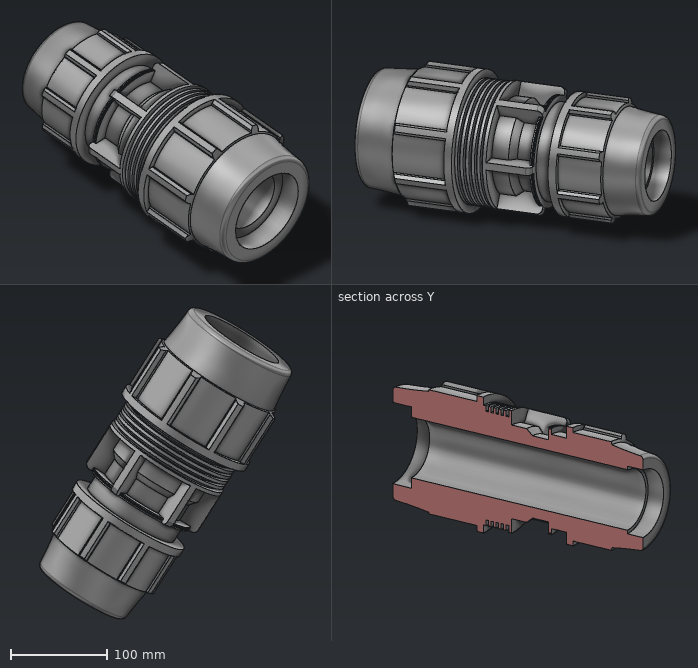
import cadquery as cq
import math


length = 316.0
bore_radius = 33.5
small_socket_radius = 75.0 / 2
small_socket_depth = 19.5
large_socket_radius = 90.0 / 2
large_socket_depth = 23.7

small_tip_fillet = 4.0
small_tip_radius = 53.0
small_nose_mid_radius = 55.0
small_nose_end_radius = 57.5
small_grip_start = 39.2
small_grip_radius = 121.7 / 2
small_flange_start = 88.2
small_flange_end = 97.0
small_flange_radius = 132.0 / 2

large_tip_fillet = 4.7
large_tip_radius = 63.5
large_nose_mid_radius = 65.0
large_nose_end_radius = 67.5
large_flange_start = 201.3
large_flange_end = 209.8
large_flange_radius = 152.0 / 2
large_grip_end = 271.0
large_grip_radius = 69.5

small_grip_cone_length = 2.5
large_grip_cone_length = 4.0

grip_rib_count = 8
rib_root_radius = 47.5
rib_trim_margin = 3.2
small_rib_top_half = 3.2
small_rib_foot_half = 5.5
small_rib_foot_radius = 63.0
large_rib_top_half = 3.5
large_rib_foot_half = 5.7
large_rib_foot_radius = 71.5

neck_radius = 105.5 / 2
ring_start = 115.5
ring_end = 120.0
ring_radius = 59.5
ring_groove_start = 117.2
ring_groove_width = 1.3
ring_groove_depth = 1.3
small_core_radius = 46.0
cone_start = 139.5
cone_end = 147.0
large_core_radius = 52.5
collar_start = 165.5
collar_end = 169.7
collar_radius = 136.8 / 2

thread_root_radius = 121.7 / 2
thread_radius = 134.0 / 2
thread_ring_count = 5
thread_start = 173.0
thread_pitch = 6.3
thread_ring_width = 3.5

body_rib_count = 6
body_rib_width = 8.2
body_rib_fillet = 6.0

AXIS_START = (0, 0, 0)
AXIS_END = (1, 0, 0)


def cylinder(start, end, radius):
    """Solid cylinder on the X axis."""
    return cq.Workplane("YZ").workplane(offset=start).circle(radius).extrude(end - start)


def nut_body(tip, tip_radius, tip_fillet, nose_mid_radius, nose_end_radius,
             grip_end, grip_radius, cone_length, flange_inner, flange_outer, flange_radius):
    """Revolved nut; tip, grip_end, flange_inner and flange_outer are X places from the tip inwards."""
    inward = math.copysign(1, flange_outer - tip)
    fillet_end = tip + inward * tip_fillet
    fillet_slack = tip_fillet * (1 - math.sqrt(0.5))
    nose_mid = (fillet_end + grip_end) / 2
    cone_share = (grip_radius - nose_end_radius) / (flange_radius - nose_end_radius)
    return (
        cq.Workplane("XY")
        .moveTo(tip, 0)
        .lineTo(tip, tip_radius - tip_fillet)
        .threePointArc((tip + inward * fillet_slack, tip_radius - fillet_slack), (fillet_end, tip_radius))
        .threePointArc((nose_mid, nose_mid_radius), (grip_end, nose_end_radius))
        .lineTo(grip_end + inward * cone_length * cone_share, grip_radius)
        .lineTo(flange_inner, grip_radius)
        .lineTo(flange_inner, flange_radius)
        .lineTo(flange_outer, flange_radius)
        .lineTo(flange_outer, 0)
        .close()
        .revolve(360, AXIS_START, AXIS_END)
    )


def grip_ribs(nose_end_radius, grip_end, cone_length, flange_outer, top_radius,
              top_half, foot_radius, foot_half):
    """Grip ribs all around, reaching the flange radius and trimmed by the grip cone."""
    inward = math.copysign(1, flange_outer - grip_end)
    trim_outline = [
        (grip_end, 0),
        (grip_end, nose_end_radius),
        (grip_end + inward * cone_length, top_radius),
        (flange_outer, top_radius),
        (flange_outer, 0),
    ]
    trim = cq.Workplane("XY").polyline(trim_outline).close().revolve(360, AXIS_START, AXIS_END)
    blank_top = top_radius + rib_trim_margin
    rib_outline = [
        (-foot_half, rib_root_radius),
        (-foot_half, foot_radius),
        (-top_half, top_radius),
        (-top_half, blank_top),
        (top_half, blank_top),
        (top_half, top_radius),
        (foot_half, foot_radius),
        (foot_half, rib_root_radius),
    ]
    rib = (
        cq.Workplane("YZ")
        .workplane(offset=grip_end)
        .polyline(rib_outline)
        .close()
        .extrude(flange_outer - grip_end)
    )
    ribs = cq.Workplane("XY")
    for index in range(grip_rib_count):
        ribs = ribs.add(rib.rotate(AXIS_START, AXIS_END, (index + 0.5) * 360 / grip_rib_count))
    return ribs.combine().intersect(trim)


def body_core():
    """Neck, support ring, tapered core, collar and thread root as one revolved shape."""
    groove_end = ring_groove_start + ring_groove_width
    groove_radius = ring_radius - ring_groove_depth
    outline = [
        (small_flange_start, 0),
        (small_flange_start, neck_radius),
        (ring_start, neck_radius),
        (ring_start, ring_radius),
        (ring_groove_start, ring_radius),
        (ring_groove_start, groove_radius),
        (groove_end, groove_radius),
        (groove_end, ring_radius),
        (ring_end, ring_radius),
        (ring_end, small_core_radius),
        (cone_start, small_core_radius),
        (cone_end, large_core_radius),
        (collar_start, large_core_radius),
        (collar_start, collar_radius),
        (collar_end, collar_radius),
        (collar_end, thread_root_radius),
        (large_flange_end, thread_root_radius),
        (large_flange_end, 0),
    ]
    return cq.Workplane("XY").polyline(outline).close().revolve(360, AXIS_START, AXIS_END)


def body_ribs():
    """Radial webs between the support ring and the collar, rounded at the outer free corner."""
    rib_length = collar_end - ring_start
    rib = (
        cq.Workplane("XY")
        .box(rib_length, collar_radius, body_rib_width, centered=(False, False, True))
        .edges("<X and >Y")
        .fillet(body_rib_fillet)
        .translate((ring_start, 0, 0))
    )
    envelope = cylinder(ring_start, collar_end, collar_radius)
    ribs = cq.Workplane("XY")
    for index in range(body_rib_count):
        ribs = ribs.add(rib.rotate(AXIS_START, AXIS_END, index * 360 / body_rib_count))
    return ribs.combine().intersect(envelope)


small_nut = nut_body(
    0, small_tip_radius, small_tip_fillet, small_nose_mid_radius, small_nose_end_radius,
    small_grip_start, small_grip_radius, small_grip_cone_length,
    small_flange_start, small_flange_end, small_flange_radius,
)
small_nut_ribs = grip_ribs(
    small_nose_end_radius, small_grip_start, small_grip_cone_length, small_flange_end, small_flange_radius,
    small_rib_top_half, small_rib_foot_radius, small_rib_foot_half,
)
large_nut = nut_body(
    length, large_tip_radius, large_tip_fillet, large_nose_mid_radius, large_nose_end_radius,
    large_grip_end, large_grip_radius, large_grip_cone_length,
    large_flange_end, large_flange_start, large_flange_radius,
)
large_nut_ribs = grip_ribs(
    large_nose_end_radius, large_grip_end, large_grip_cone_length, large_flange_start, large_flange_radius,
    large_rib_top_half, large_rib_foot_radius, large_rib_foot_half,
)

coupling = body_core().union(body_ribs())
for index in range(thread_ring_count):
    ring_x = thread_start + index * thread_pitch
    coupling = coupling.union(cylinder(ring_x, ring_x + thread_ring_width, thread_radius))
for nut_part in (small_nut, small_nut_ribs, large_nut, large_nut_ribs):
    coupling = coupling.union(nut_part)

bore = (
    cylinder(0, length, bore_radius)
    .union(cylinder(0, small_socket_depth, small_socket_radius))
    .union(cylinder(length - large_socket_depth, length, large_socket_radius))
)
result = coupling.cut(bore).clean()